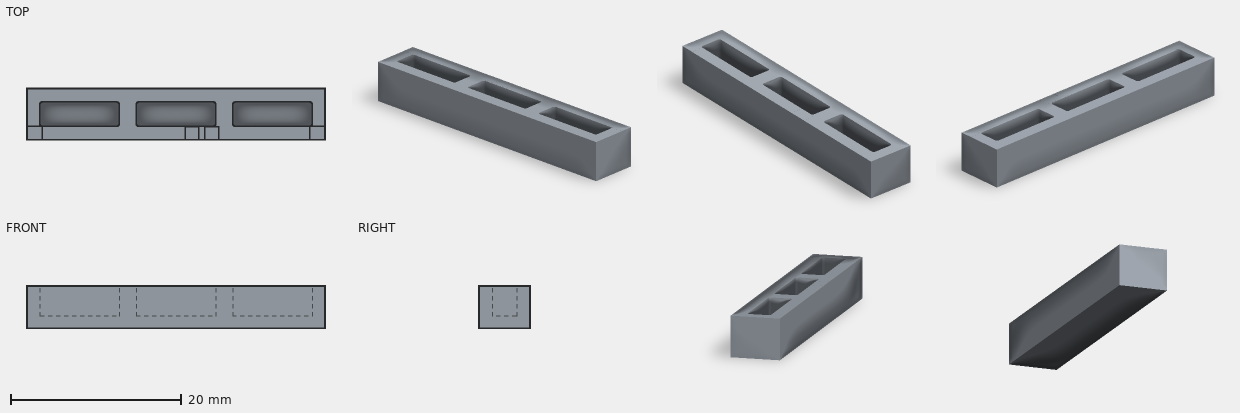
import cadquery as cq

LENGTH = 35.0
WIDTH = 6.02
HEIGHT = 5.01
PAD_THICKNESS = 0.01
BODY_HEIGHT = HEIGHT - PAD_THICKNESS

POCKET_COUNT = 3
END_WALL = 1.5
DIVIDER = 2.0
POCKET_LENGTH = (LENGTH - 2 * END_WALL - (POCKET_COUNT - 1) * DIVIDER) / POCKET_COUNT
POCKET_PITCH = POCKET_LENGTH + DIVIDER
POCKET_WIDTH = 2.86
POCKET_CORNER_RADIUS = 0.3
POCKET_FLOOR = 1.5

FRONT_WALL = (WIDTH - POCKET_WIDTH) / 2
CORNER_PAD_LENGTH = 1.78
INNER_PAD_LENGTH = 1.6
INNER_PAD_GAP = 0.7
INNER_PAD_START = 1.1
INNER_PAD_DEPTH = 1.5


def make_body():
    return cq.Workplane("XY").box(LENGTH, WIDTH, BODY_HEIGHT, centered=(True, True, False))


def make_pockets():
    """Row of rounded rectangular pockets, centred on the block."""
    return (
        cq.Workplane("XY")
        .workplane(offset=POCKET_FLOOR)
        .rarray(POCKET_PITCH, 1, POCKET_COUNT, 1)
        .rect(POCKET_LENGTH, POCKET_WIDTH)
        .extrude(HEIGHT - POCKET_FLOOR)
        .edges("|Z")
        .fillet(POCKET_CORNER_RADIUS)
    )


def make_pad(start_x, length, depth):
    """Raised pad running in +X from start_x and back from the front edge."""
    return (
        cq.Workplane("XY")
        .box(length, depth, PAD_THICKNESS, centered=False)
        .translate((start_x, -WIDTH / 2, BODY_HEIGHT))
    )


def add_pads(body):
    inner_pad_pitch = INNER_PAD_LENGTH + INNER_PAD_GAP
    pads = [
        make_pad(-LENGTH / 2, CORNER_PAD_LENGTH, FRONT_WALL),
        make_pad(INNER_PAD_START, INNER_PAD_LENGTH, INNER_PAD_DEPTH),
        make_pad(INNER_PAD_START + inner_pad_pitch, INNER_PAD_LENGTH, INNER_PAD_DEPTH),
        make_pad(LENGTH / 2 - CORNER_PAD_LENGTH, CORNER_PAD_LENGTH, FRONT_WALL),
    ]
    for pad in pads:
        body = body.union(pad)
    return body


result = add_pads(make_body().cut(make_pockets()))